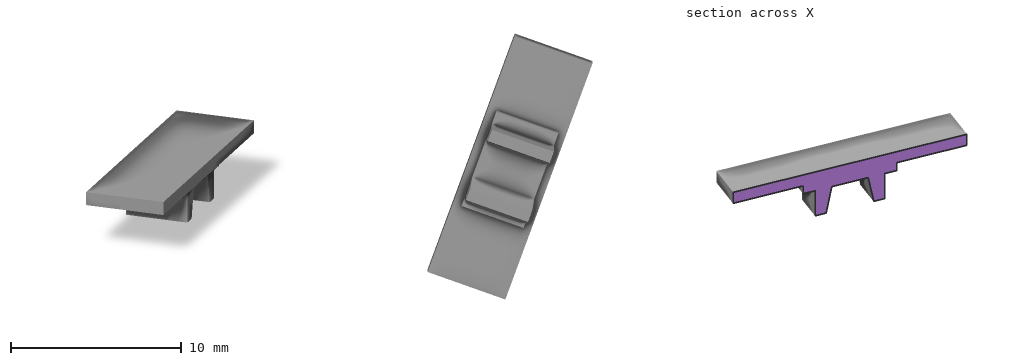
import cadquery as cq

plate_width = 4.85
plate_length = 15.0
plate_thickness = 0.81

pad_width = 3.85
pad_length = 6.0
pad_thickness = 0.55

total_height = 3.14
leg_span = 4.47
leg_root = 1.08
leg_tip = 0.72

plate_bottom = total_height - plate_thickness
pad_bottom = plate_bottom - pad_thickness


def centered_block(width, length, height, bottom):
    """Block centred on the Z axis, standing on the given height."""
    return (
        cq.Workplane("XY")
        .workplane(offset=bottom)
        .rect(width, length)
        .extrude(height)
    )


def leg(side):
    """Leg on the +Y (side = 1) or -Y (side = -1) half of the pad."""
    outer = leg_span / 2
    return (
        cq.Workplane("YZ")
        .polyline([
            (side * outer, 0),
            (side * outer, pad_bottom),
            (side * (outer - leg_root), pad_bottom),
            (side * (outer - leg_tip), 0),
        ])
        .close()
        .extrude(pad_width / 2, both=True)
    )


plate = centered_block(plate_width, plate_length, plate_thickness, plate_bottom)
pad = centered_block(pad_width, pad_length, pad_thickness, pad_bottom)

result = plate.union(pad)
for side in (-1, 1):
    result = result.union(leg(side))